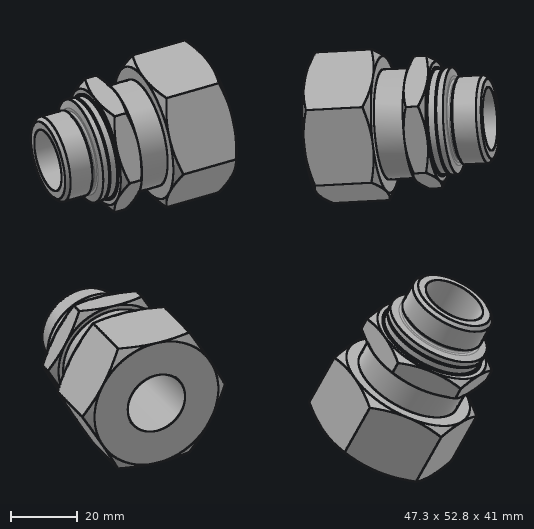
import cadquery as cq
import math

total_length = 52.75
nut_front = 31.75
hex_back = 22.55
hex_front = 15.55
washer_face_front = 15.4
groove_back = 13.2
ring_back = 12.7
groove_chamfer = 0.15
ring_front = 10.7
ring_cone_front = 10.25
neck_front = 9.1
thread_back = 8.45
tip_chamfer = 1.2

bore_radius = 9.5
thread_radius = 13.25
neck_radius = 11.95
neck_blend_radius = 0.55
ring_cone_radius = 13.45
ring_radius = 16.05
groove_radius = 15.55
spigot_radius = 15.8
washer_face_radius = 16.4
collar_radius = 16.5
nut_across_flats = 41.0
hex_across_flats = 36.0
corner_chamfer_angle = 30.0
hex_half_angle = 30.0


def revolve_about_y(outline):
    """Revolve a closed (radius, Y) outline a full turn about the Y axis."""
    return outline.close().revolve(360, (0, 0, 0), (0, 1, 0))


def chamfered_hexagon(across_flats, front, back):
    """Hexagon along Y, flats facing up and down, with both ends coned off at the corners."""
    flat_radius = across_flats / 2
    corner_radius = flat_radius / math.cos(math.radians(hex_half_angle))
    cone_depth = (corner_radius - flat_radius) * math.tan(math.radians(corner_chamfer_angle))
    prism = (
        cq.Workplane("XZ", origin=(0, back, 0))
        .polygon(6, 2 * corner_radius)
        .extrude(back - front)
    )
    envelope = revolve_about_y(
        cq.Workplane("XY")
        .moveTo(0, front)
        .lineTo(flat_radius, front)
        .lineTo(corner_radius, front + cone_depth)
        .lineTo(corner_radius, back - cone_depth)
        .lineTo(flat_radius, back)
        .lineTo(0, back)
    )
    return prism.intersect(envelope)


def turned_body():
    """Turned core: threaded spigot, relief neck, sealing ring, groove and collar."""
    return revolve_about_y(
        cq.Workplane("XY")
        .moveTo(0, 0)
        .lineTo(thread_radius - tip_chamfer, 0)
        .lineTo(thread_radius, tip_chamfer)
        .lineTo(thread_radius, thread_back)
        .lineTo(neck_radius, neck_front)
        .lineTo(neck_radius, ring_cone_front - neck_blend_radius)
        .tangentArcPoint((neck_radius + neck_blend_radius, ring_cone_front), relative=False)
        .lineTo(ring_cone_radius, ring_cone_front)
        .lineTo(ring_radius, ring_front)
        .lineTo(ring_radius, ring_back)
        .lineTo(groove_radius, ring_back + groove_chamfer)
        .lineTo(groove_radius, groove_back - groove_chamfer)
        .lineTo(spigot_radius, groove_back)
        .lineTo(spigot_radius, washer_face_front)
        .lineTo(washer_face_radius, washer_face_front)
        .lineTo(washer_face_radius, hex_back)
        .lineTo(collar_radius, hex_back)
        .lineTo(collar_radius, total_length)
        .lineTo(0, total_length)
    )


body_hexagon = chamfered_hexagon(hex_across_flats, hex_front, hex_back)
nut = chamfered_hexagon(nut_across_flats, nut_front, total_length)
bore = cq.Workplane("XZ").circle(bore_radius).extrude(-total_length)

result = turned_body().union(body_hexagon).union(nut).cut(bore)